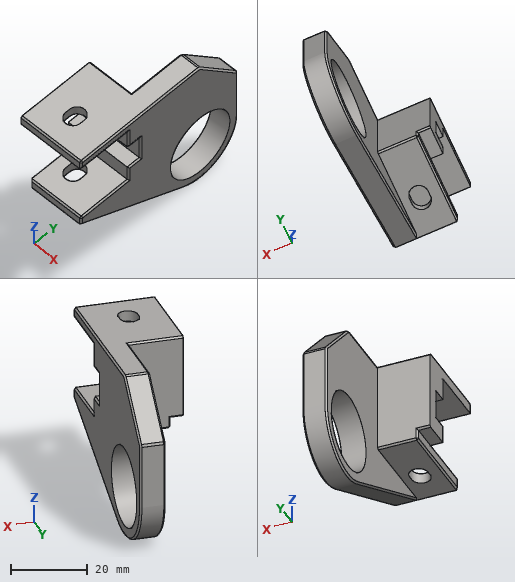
import cadquery as cq
import math

EDGE_BREAK = 0.5
CORNER_BREAK = 0.42

ARM_THICKNESS = 7.0
BORE_RADIUS = 11.1
BORE_WALL = 3.0
ARM_RADIUS = BORE_RADIUS + BORE_WALL
TOP_Z = 32.0

BLOCK_BACK_Y = -18.5
FRONT_Y = -44.51
TOTAL_WIDTH = 22.0
BLOCK_LEFT_X = ARM_THICKNESS - TOTAL_WIDTH
PLATE_THICKNESS = 3.0
CHANNEL_HEIGHT = 20.1
CHANNEL_TOP_Z = TOP_Z - PLATE_THICKNESS
CHANNEL_BOTTOM_Z = CHANNEL_TOP_Z - CHANNEL_HEIGHT
BLOCK_BOTTOM_Z = CHANNEL_BOTTOM_Z - PLATE_THICKNESS
CHANNEL_BACK_Y = -26.8
LOWER_PLATE_LEFT_X = -11.5

GROOVE_DEPTH = 4.5
GROOVE_HEIGHT = 8.5
GROOVE_TOP_Z = 22.5

SLOT_WIDTH = 5.3
SLOT_LENGTH = 6.8
SLOT_X = -5.0
SLOT_Y = -34.5


def box(x_min, x_max, y_min, y_max, z_min, z_max):
    """Axis-aligned box between the given limits."""
    size = (x_max - x_min, y_max - y_min, z_max - z_min)
    return cq.Workplane("XY").box(*size, centered=False).translate((x_min, y_min, z_min))


def make_arm():
    """Arm plate: round around the bore, with a straight edge tangent to it up to the front tip."""
    tip_distance = math.hypot(FRONT_Y, BLOCK_BOTTOM_Z)
    tip_angle = math.atan2(BLOCK_BOTTOM_Z, FRONT_Y)
    tangent_angle = tip_angle + math.acos(ARM_RADIUS / tip_distance)
    tangent_point = (ARM_RADIUS * math.cos(tangent_angle), ARM_RADIUS * math.sin(tangent_angle))
    arc_end_angle = 2 * math.pi
    arc_middle_angle = (tangent_angle + arc_end_angle) / 2
    arc_middle = (ARM_RADIUS * math.cos(arc_middle_angle), ARM_RADIUS * math.sin(arc_middle_angle))
    arm = (
        cq.Workplane("YZ")
        .moveTo(FRONT_Y, BLOCK_BOTTOM_Z)
        .lineTo(*tangent_point)
        .threePointArc(arc_middle, (ARM_RADIUS, 0))
        .lineTo(ARM_RADIUS, TOP_Z - ARM_RADIUS)
        .lineTo(0, TOP_Z)
        .lineTo(FRONT_Y, TOP_Z)
        .close()
        .extrude(ARM_THICKNESS)
    )
    top_corner = cq.NearestToPointSelector((ARM_THICKNESS / 2, 0, TOP_Z))
    back_corner = cq.NearestToPointSelector((ARM_THICKNESS / 2, ARM_RADIUS, TOP_Z - ARM_RADIUS))
    arm = arm.edges(top_corner + back_corner).chamfer(CORNER_BREAK)
    return arm.faces("<X").edges().chamfer(EDGE_BREAK)


def make_block():
    """Block overlapping the arm's inner edge break; its lower plate is narrower than the rest."""
    upper = box(BLOCK_LEFT_X, EDGE_BREAK, FRONT_Y, BLOCK_BACK_Y, CHANNEL_BOTTOM_Z, TOP_Z)
    lower = box(LOWER_PLATE_LEFT_X, EDGE_BREAK, FRONT_Y, BLOCK_BACK_Y, BLOCK_BOTTOM_Z, CHANNEL_BOTTOM_Z)
    block = upper.union(lower)
    plate_middle_y = (FRONT_Y + BLOCK_BACK_Y) / 2
    plate_middle_z = (BLOCK_BOTTOM_Z + CHANNEL_BOTTOM_Z) / 2
    back_plate_edge = cq.NearestToPointSelector((LOWER_PLATE_LEFT_X, BLOCK_BACK_Y, plate_middle_z))
    front_plate_edge = cq.NearestToPointSelector((LOWER_PLATE_LEFT_X, FRONT_Y, plate_middle_z))
    bottom_plate_edge = cq.NearestToPointSelector((LOWER_PLATE_LEFT_X, plate_middle_y, BLOCK_BOTTOM_Z))
    back_edges = block.faces(">Y").edges("|X")
    plate_edges = block.edges(back_plate_edge + front_plate_edge + bottom_plate_edge)
    return back_edges.add(plate_edges).chamfer(EDGE_BREAK)


def make_channel():
    """Cutter for the space between the plates and the groove behind it."""
    channel = box(BLOCK_LEFT_X, ARM_THICKNESS, FRONT_Y, CHANNEL_BACK_Y, CHANNEL_BOTTOM_Z, CHANNEL_TOP_Z)
    groove = box(
        BLOCK_LEFT_X,
        ARM_THICKNESS,
        CHANNEL_BACK_Y,
        CHANNEL_BACK_Y + GROOVE_DEPTH,
        GROOVE_TOP_Z - GROOVE_HEIGHT,
        GROOVE_TOP_Z,
    )
    return channel.union(groove)


def break_outer_edges(body):
    """Chamfer the outline of the +X face and the upper front edge of each plate."""
    body = body.faces("<Y").edges("|X and >Z").chamfer(EDGE_BREAK)
    plate_middle_x = (LOWER_PLATE_LEFT_X + ARM_THICKNESS) / 2
    front_edge = (plate_middle_x, FRONT_Y, CHANNEL_BOTTOM_Z)
    body = body.edges(cq.NearestToPointSelector(front_edge)).chamfer(EDGE_BREAK)
    return body.faces(">X").edges().chamfer(EDGE_BREAK)


def make_bore():
    return cq.Workplane("YZ").circle(BORE_RADIUS).extrude(ARM_THICKNESS)


def make_screw_slot():
    """Cutter for the slot through both plates, elongated along Y."""
    return (
        cq.Workplane("XY", origin=(SLOT_X, SLOT_Y, BLOCK_BOTTOM_Z))
        .slot2D(SLOT_LENGTH, SLOT_WIDTH, 90)
        .extrude(TOP_Z - BLOCK_BOTTOM_Z)
    )


body = make_arm().union(make_block()).cut(make_channel())
body = break_outer_edges(body)
result = body.cut(make_bore()).cut(make_screw_slot())